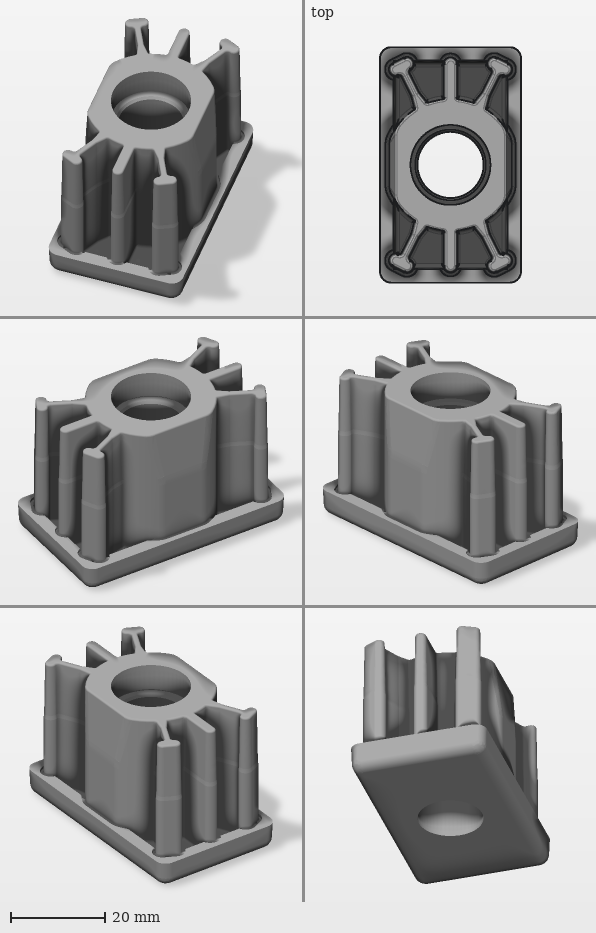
import cadquery as cq
import math

length = 50.0
width = 30.0
height = 33.0
flange_height = 6.0
flange_corner_radius = 2.5
flange_draft = 2.0
flange_bottom_radius = 2.25

relief_length = 44.3
relief_width = 24.2
relief_depth = 3.5
relief_draft = 8.0
relief_wall_radius = 0.9
ring_depth = 0.6
ring_clearance = 0.8
foot_radius = 0.5
core_foot_radius = 0.8

core_radius = 14.0
core_flat_x = 13.0
core_top_flat_x = 11.8
core_taper_start = 20.85
core_flat_radius = 3.5
core_bend_length = 1.05

post_radius = 1.5
post_edge_y = 22.85
diagonal_angle = math.degrees(math.atan(0.5))
diagonal_post_distance = 23.3
diagonal_post_half = 1.3
diagonal_rib_half = 0.95
diagonal_root_half = 1.55
flare_distance = 16.75
rib_inner_distance = 11.0
step_bottom = 19.5
step_top = 20.5
step_inset = 0.1
post_top_inset = 0.3
neck_radius = 0.5
root_radius = 0.5
top_radius = 0.45

bore_diameter = 17.0
seat_diameter = 18.0
seat_top = 27.0
insert_top = 26.5
insert_bore = 14.0
insert_chamfer = 0.5

level_rise = 0.25
core_corner_x = 10.0
core_tolerance = 0.05
level_tolerance = 0.005
block_size = 2 * length

floor_z = flange_height - relief_depth
ring_z = flange_height - ring_depth


def floor_plane():
    """Workplane on the floor of the relief pocket."""
    return cq.Workplane("XY", origin=(0, 0, floor_z))


def is_root_edge(edge):
    """True for an upright edge where a rib runs into the core."""
    middle = edge.Center()
    on_core = abs(math.hypot(middle.x, middle.y) - core_radius) < core_tolerance
    return on_core and abs(middle.x) < core_corner_x and not is_level(edge)


def is_flat_corner(edge):
    """True for an upright edge between a side flat and the round of the core."""
    middle = edge.Center()
    return abs(middle.x) > core_corner_x and abs(middle.y) < core_corner_x and not is_level(edge)


def is_level(edge):
    """True for an edge that lies flat or nearly so."""
    return edge.BoundingBox().zlen < level_rise


def fillet_edges(body, is_wanted, radius):
    """Round the edges of a body that pass a test."""
    wanted = [edge for edge in body.edges().vals() if is_wanted(edge)]
    return body.newObject(wanted).fillet(radius)


def make_core():
    """Cylinder cut to flats that stand upright, bend, and lean in toward the top."""
    lean = math.atan((core_flat_x - core_top_flat_x) / (height - core_taper_start))
    bend_x = core_flat_x - core_bend_length * math.sin(lean)
    bend_bottom = core_taper_start - core_bend_length
    bend_top = core_taper_start + core_bend_length * math.cos(lean)
    bounds = (
        cq.Workplane("XZ", origin=(0, length / 2, 0))
        .moveTo(0, floor_z)
        .lineTo(core_flat_x, floor_z)
        .lineTo(core_flat_x, bend_bottom)
        .tangentArcPoint((bend_x, bend_top), relative=False)
        .lineTo(core_top_flat_x, height)
        .lineTo(0, height)
        .close()
        .extrude(length)
    )
    core = floor_plane().circle(core_radius).extrude(height - floor_z)
    core = core.intersect(bounds.union(bounds.mirror("YZ")))
    return fillet_edges(core, is_flat_corner, core_flat_radius)


def stepped_prism(outline):
    """Upright outline that steps in at mid height and then drafts to the top."""
    step_height = step_top - step_bottom
    upper_height = height - step_top
    step_angle = math.degrees(math.atan(step_inset / step_height))
    upper_angle = math.degrees(math.atan((post_top_inset - step_inset) / upper_height))
    lower = outline.extrude(step_bottom - floor_z)
    lower_rim = lower.faces(">Z").wires().toPending().workplane()
    step = lower_rim.extrude(step_height, taper=step_angle, combine=False)
    step_rim = step.faces(">Z").wires().toPending().workplane()
    upper = step_rim.extrude(upper_height, taper=upper_angle, combine=False)
    return lower.union(step).union(upper)


def middle_rib():
    """Plain rib with a full-round outer end."""
    rib_length = post_edge_y - rib_inner_distance
    outline = (
        floor_plane()
        .center(0, rib_inner_distance + rib_length / 2)
        .slot2D(rib_length, 2 * post_radius, 90)
    )
    return stepped_prism(outline)


def diagonal_rib():
    """Radial rib along +Y that flares into the core and ends in a crosswise rounded post."""
    flare_slope = (diagonal_root_half - diagonal_rib_half) / (flare_distance - core_radius)
    inner_half = diagonal_rib_half + flare_slope * (flare_distance - rib_inner_distance)
    post_y = diagonal_post_distance
    post_outer_y = post_y + post_radius
    post_end_x = diagonal_post_half + post_radius

    neck_x = diagonal_rib_half + neck_radius
    neck_drop = math.sqrt((post_radius + neck_radius) ** 2 - (neck_x - diagonal_post_half) ** 2)
    touch_share = post_radius / (post_radius + neck_radius)
    touch_x = diagonal_post_half + touch_share * (neck_x - diagonal_post_half)
    touch_y = post_y - touch_share * neck_drop
    neck_y = post_y - neck_drop

    outline = (
        floor_plane()
        .moveTo(-inner_half, rib_inner_distance)
        .lineTo(inner_half, rib_inner_distance)
        .lineTo(diagonal_rib_half, flare_distance)
        .lineTo(diagonal_rib_half, neck_y)
        .tangentArcPoint((touch_x, touch_y), relative=False)
        .threePointArc((post_end_x, post_y), (diagonal_post_half, post_outer_y))
        .lineTo(-diagonal_post_half, post_outer_y)
        .threePointArc((-post_end_x, post_y), (-touch_x, touch_y))
        .tangentArcPoint((-diagonal_rib_half, neck_y), relative=False)
        .lineTo(-diagonal_rib_half, flare_distance)
        .close()
    )
    return stepped_prism(outline)


def make_upright():
    """Core with six stepped ribs, rounded where they meet and along the top rim."""
    upright = make_core()
    for half_turn in (0, 180):
        upright = upright.union(middle_rib().rotate((0, 0, 0), (0, 0, 1), half_turn))
        for side in (-1, 1):
            turn = half_turn + side * diagonal_angle
            upright = upright.union(diagonal_rib().rotate((0, 0, 0), (0, 0, 1), turn))
    upright = fillet_edges(upright, is_root_edge, root_radius)
    return upright.faces(">Z").edges().fillet(top_radius)


def make_flange():
    """Solid flange plate that narrows toward its rounded underside."""
    flange = (
        cq.Workplane("XY", origin=(0, 0, flange_height))
        .rect(width, length)
        .extrude(-flange_height, taper=flange_draft)
    )
    flange = flange.edges("not #Z").fillet(flange_corner_radius)
    return flange.faces("<Z").edges().fillet(flange_bottom_radius)


def relief_pocket():
    """Drafted rectangular pocket with a rounded floor edge."""
    pocket = (
        cq.Workplane("XY", origin=(0, 0, flange_height))
        .rect(relief_width, relief_length)
        .extrude(-relief_depth, taper=relief_draft)
    )
    return pocket.faces("<Z").edges().fillet(relief_wall_radius)


def clearance_ring(upright):
    """Shallow prism that follows the foot of the upright at a constant distance."""
    foot_outline = upright.faces("<Z").wires().vals()
    outline = cq.Workplane("XY").add(foot_outline).toPending().offset2D(ring_clearance)
    return outline.extrude(relief_depth).intersect(above(ring_z))


def above(level):
    """Block that covers everything over a level."""
    block = cq.Workplane("XY", origin=(0, 0, level))
    return block.rect(block_size, block_size).extrude(height)


def with_foot(body, level, radius):
    """The part of an upright body over a level, flared by a fillet where it meets that level."""
    ground_top = cq.Workplane("XY", origin=(0, 0, level))
    ground = ground_top.rect(block_size, block_size).extrude(-level)

    def is_foot_edge(edge):
        box = edge.BoundingBox()
        on_level = max(abs(box.zmin - level), abs(box.zmax - level)) < level_tolerance
        middle = edge.Center()
        return on_level and math.hypot(middle.x, middle.y) < length

    standing = ground.union(body.intersect(above(level)))
    return fillet_edges(standing, is_foot_edge, radius).intersect(above(level))


def make_plug():
    """Flange with its relief, the ribbed upright standing in it, and the stepped bore."""
    upright = make_upright()
    pocket = relief_pocket()
    plug = make_flange().cut(pocket).cut(clearance_ring(upright))
    plug = plug.union(with_foot(upright, ring_z, foot_radius).cut(pocket))
    plug = plug.union(with_foot(upright, floor_z, foot_radius))
    core_foot = with_foot(make_core(), floor_z, core_foot_radius).cut(above(flange_height))
    plug = plug.union(core_foot)
    bore = cq.Workplane("XY").circle(bore_diameter / 2).extrude(height)
    seat = cq.Workplane("XY").circle(seat_diameter / 2).extrude(seat_top)
    return plug.cut(bore).cut(seat)


def make_insert():
    """Threaded sleeve that fills the seat, with a lead-in chamfer at the top of its bore."""
    sleeve = (
        cq.Workplane("XY")
        .circle(seat_diameter / 2)
        .circle(insert_bore / 2)
        .extrude(insert_top)
    )
    bore_rim = cq.selectors.RadiusNthSelector(0)
    return sleeve.faces(">Z").edges(bore_rim).chamfer(insert_chamfer)


plug = make_plug()
insert = make_insert()
result = cq.Compound.makeCompound([plug.solids().val(), insert.solids().val()])